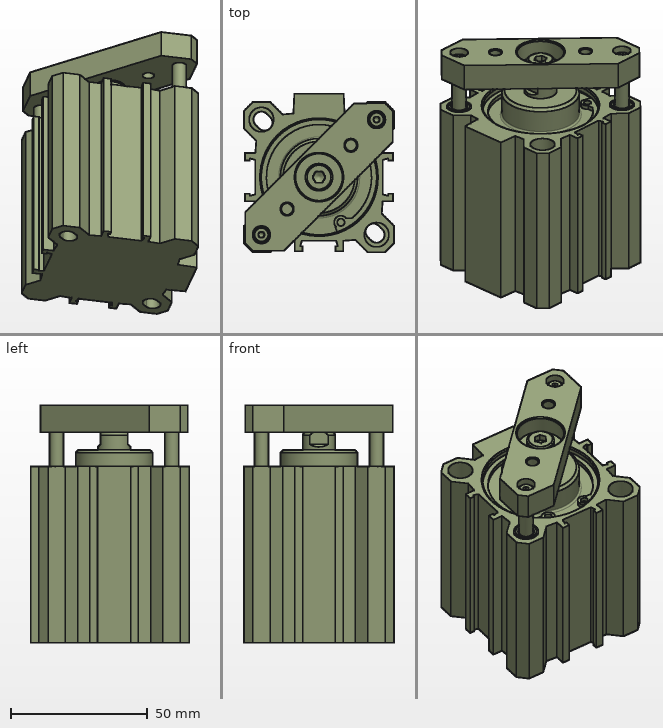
import cadquery as cq
import math

total_height = 87.0
housing_height = 64.55
plate_thickness = 10.0
plate_bottom = total_height - plate_thickness
end_wall = 10.0

housing_half = 27.5
wall_half = 23.3
wall_end_half = 23.0
post_inner = 17.8
post_chamfer = 3.3
rail_outer = 8.9
rail_tip = 27.15
rail_neck = 25.2
rail_hook = 6.0
rail_flank_root = 6.3
rail_flank_neck = 6.8
port_face = 30.5
port_half_tip = 9.05
port_half_root = 9.4

corner_offset = 21.05
bolt_bore_d = 9.0
bolt_bore_depth = 10.0
bolt_slot_d = 5.7
bolt_slot_offset = 19.9

bush_d = 9.0
bush_groove = 0.7
bush_bore_chamfer = 0.35

mouth_d = 42.2
mouth_chamfer = 0.5
mouth_depth = 3.7
collar_d = 28.3
collar_height = 6.1
collar_chamfer = 1.05
collar_fillet = 0.7
ring_outer_d = 44.7
ring_inner_d = 38.45
ring_thickness = 1.5
ring_bottom = housing_height - mouth_depth
ear_x = 8.0
ear_y = -16.5
ear_radius = 2.4
ear_hole_d = 2.7
ear_root_x = 12.0
ear_root_y = -15.0

rod_d = 12.0
rod_chamfer_radial = 0.5
rod_chamfer_height = 1.05
rod_flats_width = 10.0
rod_flats_height = 4.35

plate_half = 27.0
plate_width = 20.0
plate_chamfer = 2.8
rod_pocket_d = 18.0
rod_pocket_depth = 6.9
pocket_chamfer = 0.4
thread_offset = 11.7
thread_hole_d = 4.2
thread_mouth_d = 5.0
guide_pocket_d = 6.5
guide_pocket_depth = 5.0

guide_rod_d = 5.2
guide_screw_head_d = 5.5
guide_screw_head_height = 3.0
guide_screw_chamfer = 0.3
guide_screw_shank_d = 3.0
guide_screw_hex = 2.0
guide_screw_socket = 1.3
rod_bolt_head_d = 10.0
rod_bolt_head_height = 3.9
rod_bolt_chamfer = 0.6
rod_bolt_shank_d = 6.0
rod_bolt_hex = 4.0
rod_bolt_socket = 2.5
shank_below_plate = 5.0
socket_tip_angle = 118.0

guide_points = [(-corner_offset, -corner_offset), (corner_offset, corner_offset)]
bolt_corners = [(-1, 1), (1, -1)]


def cylinder(diameter, bottom, top, center=(0, 0)):
    return cq.Workplane("XY", origin=(*center, bottom)).circle(diameter / 2).extrude(top - bottom)


def chamfered_hole(diameter, bottom, top, chamfer, center=(0, 0)):
    """Hole whose mouth at `top` is widened by a 45 degree chamfer."""
    mouth = cq.Solid.makeCone(
        diameter / 2,
        diameter / 2 + chamfer,
        chamfer,
        cq.Vector(*center, top - chamfer),
    )
    return cylinder(diameter, bottom, top, center).union(cq.Workplane(mouth))


def wall_outline(feature):
    """One wall from corner post to corner post, as (sideways, outward) points.

    `feature` holds the points of the left half of what stands on the wall.
    """
    half = [
        (-housing_half + post_chamfer, housing_half),
        (-post_inner, housing_half),
        (-post_inner + housing_half - wall_end_half, wall_end_half),
        *feature,
    ]
    return half + [(-side, out) for side, out in reversed(half)]


def turned(points, quarter_turns):
    """The points turned clockwise about the centre."""
    for _ in range(quarter_turns):
        points = [(y, -x) for x, y in points]
    return points


def housing_profile():
    port_block = [(-port_half_root, wall_half), (-port_half_tip, port_face)]
    rail = [
        (-rail_outer, wall_half),
        (-rail_outer, rail_tip),
        (-rail_hook, rail_tip),
        (-rail_hook, rail_neck),
        (-rail_flank_neck, rail_neck),
        (-rail_flank_root, wall_half),
    ]
    outline = []
    for quarter_turns, feature in enumerate([port_block, rail, rail, rail]):
        outline += turned(wall_outline(feature), quarter_turns)
    return outline


def mouth_cut():
    """Recess around the collar, with a chamfered rim and the groove that holds the retaining ring."""
    mouth = chamfered_hole(mouth_d, ring_bottom, housing_height, mouth_chamfer)
    groove = cylinder(ring_outer_d, ring_bottom, ring_bottom + ring_thickness)
    return mouth.union(groove)


def collar():
    body = cylinder(collar_d, ring_bottom, housing_height + collar_height)
    return body.faces(">Z").chamfer(collar_chamfer)


def collar_fillet_ring():
    """Concave fillet between the collar and the floor of the recess."""
    radius = collar_d / 2
    return (
        cq.Workplane("XZ")
        .moveTo(radius, ring_bottom)
        .lineTo(radius + collar_fillet, ring_bottom)
        .radiusArc((radius, ring_bottom + collar_fillet), collar_fillet)
        .close()
        .revolve(360, (0, 0), (0, 1))
    )


def bush_groove_cut(center):
    """V groove around a guide rod, with a straight outer wall and a sloping inner wall."""
    radius = bush_d / 2
    return (
        cq.Workplane("XZ")
        .polyline([
            (radius, housing_height),
            (radius, housing_height - bush_groove),
            (radius - bush_groove, housing_height),
        ])
        .close()
        .revolve(360, (0, 0), (0, 1))
        .translate((*center, 0))
    )


def bolt_hole(x_side, y_side):
    """Counterbored bolt hole whose lower part is a slot that reaches towards the centre."""
    bore_center = (x_side * corner_offset, y_side * corner_offset)
    bore = cylinder(bolt_bore_d, housing_height - bolt_bore_depth, housing_height, bore_center)
    middle = (corner_offset + bolt_slot_offset) / 2
    travel = math.sqrt(2) * (corner_offset - bolt_slot_offset)
    slot = (
        cq.Workplane("XY", origin=(x_side * middle, y_side * middle, 0))
        .slot2D(travel + bolt_slot_d, bolt_slot_d, math.degrees(math.atan2(y_side, x_side)))
        .extrude(housing_height)
    )
    return bore.union(slot)


def make_housing():
    body = cq.Workplane("XY").polyline(housing_profile()).close().extrude(housing_height)
    body = body.cut(mouth_cut()).union(collar()).union(collar_fillet_ring())
    body = body.cut(cylinder(rod_d, end_wall, total_height))
    for point in guide_points:
        body = body.cut(chamfered_hole(guide_rod_d, end_wall, housing_height, bush_bore_chamfer, point))
        body = body.cut(bush_groove_cut(point))
    for x_side, y_side in bolt_corners:
        body = body.cut(bolt_hole(x_side, y_side))
    return body


def make_retaining_ring():
    ring_base = cq.Workplane("XY", origin=(0, 0, ring_bottom))
    ring = ring_base.circle(ring_outer_d / 2).circle(ring_inner_d / 2).extrude(ring_thickness)
    gap_angle = math.atan2(ear_x, -ear_y) - math.asin(ear_radius / math.hypot(ear_x, ear_y))
    gap_reach = ring_outer_d
    gap_half = gap_reach * math.tan(gap_angle)
    gap = (
        ring_base.polyline([(0, 0), (gap_half, -gap_reach), (-gap_half, -gap_reach)])
        .close()
        .extrude(ring_thickness)
    )
    rim = cylinder(mouth_d, ring_bottom, ring_bottom + ring_thickness)
    for side in (-1, 1):
        ear = ring_base.center(side * ear_x, ear_y).circle(ear_radius).extrude(ring_thickness)
        web = (
            ring_base.polyline([
                (side * ear_x, ear_root_y),
                (side * ear_root_x, ear_root_y),
                (side * ear_root_x, -mouth_d / 2),
                (side * ear_x, -mouth_d / 2),
            ])
            .close()
            .extrude(ring_thickness)
            .intersect(rim)
        )
        hole = ring_base.center(side * ear_x, ear_y).circle(ear_hole_d / 2).extrude(ring_thickness)
        ring = ring.union(ear).union(web).cut(hole)
    return ring.cut(gap)


def rod_flat_cut():
    """Wrench flat on the -Y side, running out at 45 degrees at its lower end."""
    flat = rod_flats_width / 2
    flat_bottom = plate_bottom - rod_flats_height
    outside = rod_d
    return (
        cq.Workplane("YZ", origin=(-rod_d / 2, 0, 0))
        .polyline([
            (-flat, plate_bottom),
            (-flat, flat_bottom),
            (-outside, flat_bottom - (outside - flat)),
            (-outside, plate_bottom),
        ])
        .close()
        .extrude(rod_d)
    )


def make_piston_rod():
    rod = cylinder(rod_d, end_wall, plate_bottom)
    rod = rod.faces(">Z").chamfer(rod_chamfer_height, rod_chamfer_radial)
    flat = rod_flat_cut()
    rod = rod.cut(flat).cut(flat.mirror("XZ"))
    return rod.cut(cylinder(rod_bolt_shank_d, plate_bottom - shank_below_plate, plate_bottom))


def plate_blank():
    diagonal_end = plate_half - plate_width / math.sqrt(2)
    tip = plate_half - plate_chamfer
    half = [
        (-plate_half, -diagonal_end),
        (-plate_half, -tip),
        (-tip, -plate_half),
        (-diagonal_end, -plate_half),
    ]
    outline = half + [(-x, -y) for x, y in half]
    return cq.Workplane("XY", origin=(0, 0, plate_bottom)).polyline(outline).close().extrude(plate_thickness)


def make_plate():
    plate = plate_blank()
    rod_pocket_floor = total_height - rod_pocket_depth
    rod_pocket_wall_d = rod_pocket_d - 2 * pocket_chamfer
    plate = plate.cut(chamfered_hole(rod_pocket_wall_d, rod_pocket_floor, total_height, pocket_chamfer))
    plate = plate.cut(cylinder(rod_bolt_shank_d, plate_bottom, total_height))
    thread_chamfer = (thread_mouth_d - thread_hole_d) / 2
    for offset in (-thread_offset, thread_offset):
        center = (offset, offset)
        plate = plate.cut(chamfered_hole(thread_hole_d, plate_bottom, total_height, thread_chamfer, center))
    for point in guide_points:
        guide_pocket_floor = total_height - guide_pocket_depth
        plate = plate.cut(cylinder(guide_pocket_d, guide_pocket_floor, total_height, point))
        plate = plate.cut(cylinder(guide_screw_shank_d, plate_bottom, total_height, point))
    return plate


def make_guide_rod(point):
    rod = cylinder(guide_rod_d, end_wall, plate_bottom, point)
    return rod.cut(cylinder(guide_screw_shank_d, plate_bottom - shank_below_plate, plate_bottom, point))


def make_screw(point, seat, head_d, head_height, chamfer, shank_d, hex_size, socket_depth):
    """Socket head screw whose head stands on `seat` and whose shank ends inside the rod below the plate."""
    head_top = seat + head_height
    head = cylinder(head_d, seat, head_top, point).faces(">Z").chamfer(chamfer)
    shank = cylinder(shank_d, plate_bottom - shank_below_plate, seat, point)
    corner_d = hex_size / math.cos(math.pi / 6)
    socket_floor = head_top - socket_depth
    socket = cq.Workplane("XY", origin=(*point, socket_floor)).polygon(6, corner_d).extrude(socket_depth)
    tip_depth = corner_d / 2 / math.tan(math.radians(socket_tip_angle / 2))
    tip = cq.Workplane(cq.Solid.makeCone(
        0, corner_d / 2, tip_depth, cq.Vector(*point, socket_floor - tip_depth), cq.Vector(0, 0, 1)
    ))
    return head.union(shank).cut(socket).cut(tip)


def make_guide_screw(point):
    return make_screw(
        point,
        total_height - guide_pocket_depth,
        guide_screw_head_d,
        guide_screw_head_height,
        guide_screw_chamfer,
        guide_screw_shank_d,
        guide_screw_hex,
        guide_screw_socket,
    )


def make_rod_bolt():
    return make_screw(
        (0, 0),
        total_height - rod_pocket_depth,
        rod_bolt_head_d,
        rod_bolt_head_height,
        rod_bolt_chamfer,
        rod_bolt_shank_d,
        rod_bolt_hex,
        rod_bolt_socket,
    )


housing = make_housing()
retaining_ring = make_retaining_ring()
piston_rod = make_piston_rod()
plate = make_plate()
rod_bolt = make_rod_bolt()
guide_rods = [make_guide_rod(point) for point in guide_points]
guide_screws = [make_guide_screw(point) for point in guide_points]

result = cq.Compound.makeCompound([
    housing.val(),
    retaining_ring.val(),
    piston_rod.val(),
    plate.val(),
    rod_bolt.val(),
    *[rod.val() for rod in guide_rods],
    *[screw.val() for screw in guide_screws],
])